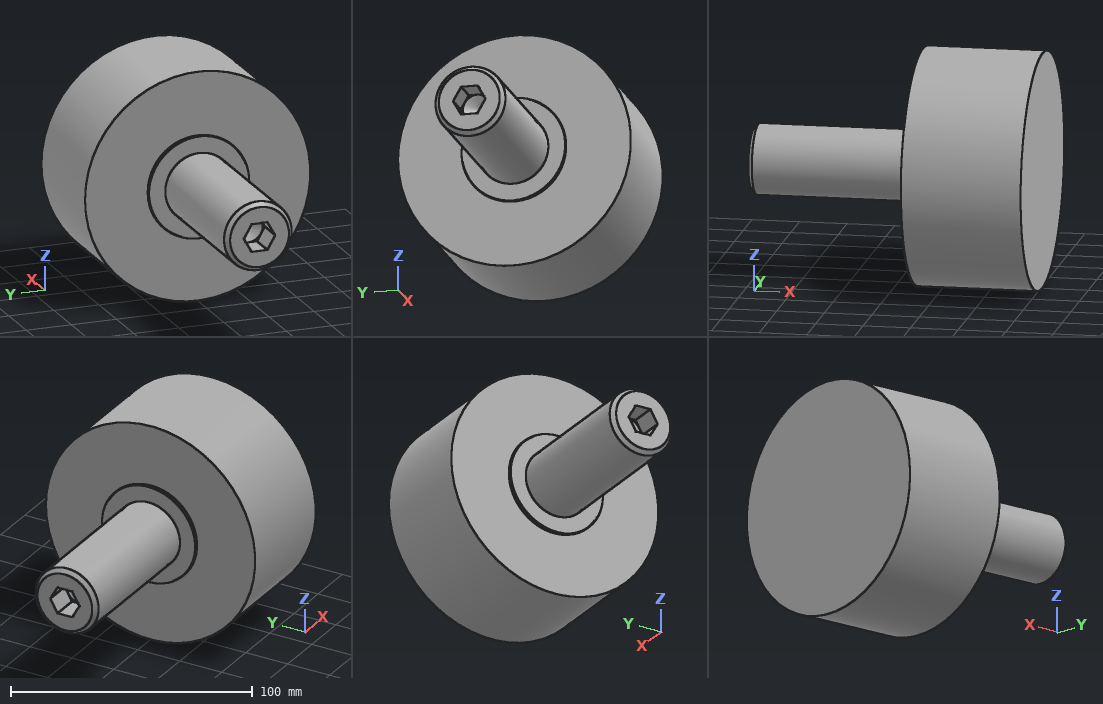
import cadquery as cq
import math

total_length = 121.5
roller_diameter = 100.0
roller_length = 50.4
collar_diameter = 44.5
collar_length = 1.6
stud_diameter = 30.0
stud_chamfer = 2.0

hex_across_flats = 12.0
hex_depth = 12.0
socket_cone_angle = 120.0

end_x = total_length / 2
roller_face_x = end_x - roller_length
collar_face_x = roller_face_x - collar_length
stud_end_x = -total_length / 2


def cylinder(start_x, finish_x, diameter):
    """Solid cylinder on the X axis."""
    return (
        cq.Workplane("YZ", origin=(start_x, 0, 0))
        .circle(diameter / 2)
        .extrude(finish_x - start_x)
    )


def hex_socket():
    """Hexagonal recess, corners pointing along Y, with a conical drill point."""
    across_corners = hex_across_flats / math.cos(math.radians(30))
    recess = (
        cq.Workplane("YZ", origin=(stud_end_x, 0, 0))
        .polygon(6, across_corners)
        .extrude(hex_depth)
    )
    cone_radius = hex_across_flats / 2
    cone_height = cone_radius / math.tan(math.radians(socket_cone_angle / 2))
    floor_x = stud_end_x + hex_depth
    drill_point = cq.Workplane(
        cq.Solid.makeCone(cone_radius, 0, cone_height, cq.Vector(floor_x, 0, 0), cq.Vector(1, 0, 0))
    )
    return recess.union(drill_point)


roller = cylinder(roller_face_x, end_x, roller_diameter)
collar = cylinder(collar_face_x, roller_face_x, collar_diameter)
stud = cylinder(stud_end_x, collar_face_x, stud_diameter).faces("<X").chamfer(stud_chamfer)

result = roller.union(collar).union(stud).cut(hex_socket())